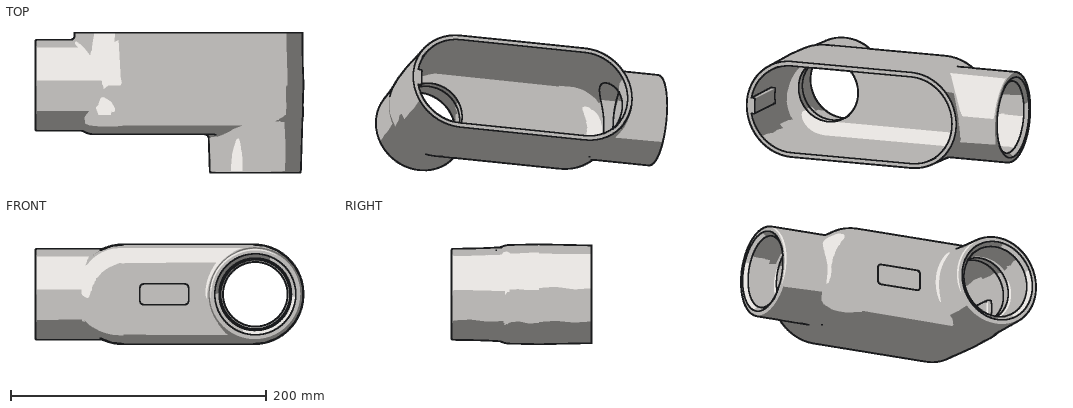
import cadquery as cq
import math

total_length = 210.2
body_height = 78.4
body_radius = body_height / 2
end_spacing = 102.0
body_back = 41.2
body_front = 38.5
body_draft = 1.2
front_round = 15.8
wall = 3.5
left_end_x = -end_spacing
inlet_mouth_x = body_radius - total_length

hub_radius = 71.5 / 2
lip_round = 1.5
joint_round = 3.0
mouth_clearance = 2 * lip_round
joint_tolerance = 0.02
branch_x = 1.3
branch_length = 68.5
branch_draft = 1.75

mouth_radius = 63.5 / 2
thread_start_radius = 56.7 / 2
thread_start_depth = 3.0
thread_end_radius = 54.2 / 2
thread_end_depth = 18.7
stop_depth = 24.8
throat_radius = 50.5 / 2
throat_depth = stop_depth + thread_end_radius - throat_radius

pad_width = 12.6
pad_face_radius = 31.5
pad_edge_round = 1.3

label_length = 38.0
label_height = 16.2
label_corner = 3.0
label_depth = 0.5
label_x = -70.0


def drafted_half(radius, depth):
    """Stadium prism from the parting plane, narrowing with depth; negative depth runs to the rear."""
    outline = cq.Workplane("XZ").center(left_end_x / 2, 0).slot2D(end_spacing + 2 * radius, 2 * radius)
    return outline.extrude(depth, taper=body_draft)


def drafted_box(radius, front, edge_round):
    front_half = drafted_half(radius, front).faces("<Y").edges().fillet(edge_round)
    return front_half.union(drafted_half(radius, -body_back))


def hub_bore(depth):
    """Bore tool along +Y with its mouth on the plane Y = 0."""
    half_section = (
        cq.Workplane("XY")
        .lineTo(mouth_radius, 0)
        .lineTo(thread_start_radius, thread_start_depth)
        .lineTo(thread_end_radius, thread_end_depth)
        .lineTo(thread_end_radius, stop_depth)
        .tangentArcPoint((throat_radius, throat_depth), relative=False)
        .lineTo(throat_radius, depth)
        .lineTo(0, depth)
        .close()
    )
    return half_section.revolve(360, (0, 0, 0), (0, 1, 0))


def on_inlet(point):
    """True on the inlet's outer cylinder, clear of its mouth."""
    distance = math.hypot(point.y, point.z)
    is_on_surface = math.isclose(distance, hub_radius, abs_tol=joint_tolerance)
    return is_on_surface and point.x > inlet_mouth_x + mouth_clearance


def on_branch(point):
    """True on the branch's outer cone, clear of its mouth."""
    height = point.y + branch_length
    cone_radius = hub_radius + height * math.tan(math.radians(branch_draft))
    distance = math.hypot(point.x - branch_x, point.z)
    is_on_surface = math.isclose(distance, cone_radius, abs_tol=joint_tolerance)
    return is_on_surface and height > mouth_clearance


def blend_joint(shape, on_hub):
    """Round the curved edges where a hub's outer surface meets the body."""
    joint = [
        edge
        for edge in shape.edges("not %LINE").vals()
        if all(on_hub(edge.positionAt(position)) for position in (0.1, 0.5, 0.9))
    ]
    return shape.newObject(joint).fillet(joint_round)


inlet_length = left_end_x - inlet_mouth_x
inlet = cq.Workplane("YZ", origin=(inlet_mouth_x, 0, 0)).circle(hub_radius).extrude(inlet_length)
inlet = inlet.faces("<X").edges().fillet(lip_round)

branch = cq.Workplane("XZ", origin=(branch_x, -branch_length, 0)).circle(hub_radius)
branch = branch.extrude(-branch_length, taper=-branch_draft)
branch = branch.faces("<Y").edges().fillet(lip_round)

result = drafted_box(body_radius, body_front, front_round).union(inlet).union(branch)
result = blend_joint(result, on_inlet)
result = blend_joint(result, on_branch)

screw_pad = cq.Workplane("XZ").rect(body_radius, pad_width, centered=(False, True)).extrude(-body_back)
screw_pad = screw_pad.cut(cq.Workplane("XZ").circle(pad_face_radius).extrude(-body_back))
screw_pad = screw_pad.faces("<X").edges("not >Y").fillet(pad_edge_round)

cavity = drafted_box(body_radius - wall, body_front - wall, front_round - wall).cut(screw_pad)
result = result.cut(cavity)

inlet_bore = hub_bore(inlet_length).rotate((0, 0, 0), (0, 0, 1), -90)
result = result.cut(inlet_bore.translate((inlet_mouth_x, 0, 0)))
result = result.cut(hub_bore(branch_length).translate((branch_x, -branch_length, 0)))

label = cq.Workplane("XZ", origin=(label_x, -body_front, 0)).rect(label_length, label_height)
label = label.extrude(-label_depth).edges("|Y").fillet(label_corner)
result = result.cut(label)